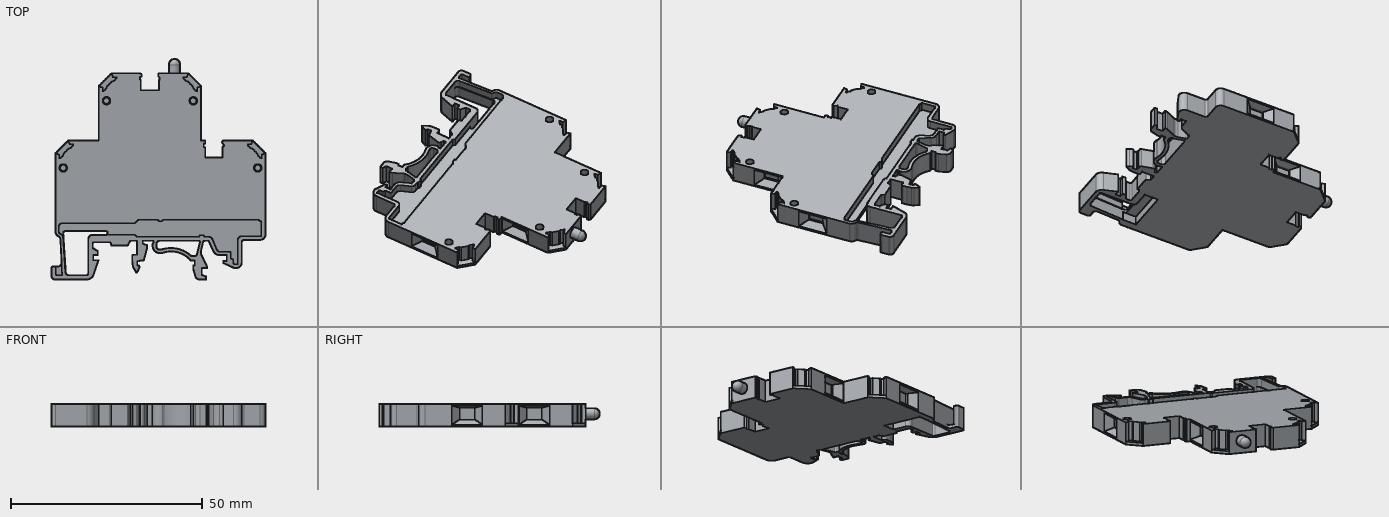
import cadquery as cq
import math

THICKNESS = 5.95

LOWER_LEFT, LOWER_RIGHT, LOWER_TOP = 1.05, 56.0, 36.4
UPPER_LEFT, UPPER_RIGHT = 12.35, 39.2
TIER_RISE = 17.55
UPPER_TOP = LOWER_TOP + TIER_RISE
TIERS = (
    (LOWER_LEFT, LOWER_RIGHT, LOWER_TOP),
    (UPPER_LEFT, UPPER_RIGHT, UPPER_TOP),
)
TIER_CHAMFER = 3.4

FOOT_BOTTOM = 0
RAIL_FACE = 10.1
ROOT_OVERLAP = 0.6
ROOT_TOP = RAIL_FACE + ROOT_OVERLAP
RIGHT_UNDERSIDE = 10.3
TIERS_BOTTOM = 12.65
ARM_LEFT = 2.3
RIGHT_FOOT_SIDE = 49.8
NOTCH_DEPTH = 4.45

POCKET_FLOOR = 0.8

HOLE_DIAMETER = 2.0
HOLE_END_DIAMETER = 1.7
HOLE_INSET = 2.1
HOLE_DROP = 7.2
HOLE_DEPTH = 3.45

FUNNEL_DEPTH = 2.0
FUNNEL_Y = -13.4
FUNNEL_Z = THICKNESS / 2
FUNNEL_MOUTH_LENGTH, FUNNEL_MOUTH_HEIGHT = 7.95, 4.9
FUNNEL_END_LENGTH, FUNNEL_END_HEIGHT = 4.0, 3.1
FUNNEL_END_SHIFT = 0.4
THROAT_DEPTH = 0.5

RECESS_FLOOR = 3.65
WEB_THICKNESS = 1.0
STRIP_TOP = 11.7
WINDOW_RIGHT_WALL = 9.65
WINDOW_BOTTOM = 1.15
WINDOW_LEFT, WINDOW_RIGHT, WINDOW_TOP = 3.1, 14.7, 12.65
UNDERCUT_TOP = 15.65

HOOK_TOP = 3.45
HOOK_INNER_SIDE = 1.2
HOOK_FLOOR = 0.9

ARCH_BEND_RADIUS = 4.1 / 2
ARCH_OUTER_RADIUS = 6.8
ARCH_THICKNESS = 0.9
ARCH_INNER_RADIUS = ARCH_OUTER_RADIUS + ARCH_THICKNESS

PIN_DIAMETER = 3.0
PIN_X, PIN_Z = 32.2, 3.35
PIN_TIP = 57.7


def toward(start, end, distance):
    """Point at a distance from start on the way to end."""
    span = math.dist(start, end)
    return tuple(a + (b - a) * distance / span for a, b in zip(start, end))


def rounded_corner(before, corner, after, radius):
    """Start, middle and end of the arc that rounds a corner."""
    to_before = math.atan2(before[1] - corner[1], before[0] - corner[0])
    to_after = math.atan2(after[1] - corner[1], after[0] - corner[0])
    half_angle = abs(math.remainder(to_after - to_before, math.tau)) / 2
    tangent_length = radius / math.tan(half_angle)
    start = toward(corner, before, tangent_length)
    end = toward(corner, after, tangent_length)
    chord_middle = tuple((a + b) / 2 for a, b in zip(start, end))
    middle = toward(corner, chord_middle, radius / math.sin(half_angle) - radius)
    return start, middle, end


def prism(corners, bottom=0, top=THICKNESS):
    """Upright prism on a closed outline of (x, y) or (x, y, corner radius) points."""
    points = [corner[:2] for corner in corners]
    sketch = cq.Workplane("XY").workplane(offset=bottom)
    for i, corner in enumerate(corners):
        stops = [points[i]]
        if len(corner) == 3:
            after = points[(i + 1) % len(points)]
            stops = rounded_corner(points[i - 1], points[i], after, corner[2])
        sketch = sketch.moveTo(*stops[0]) if i == 0 else sketch.lineTo(*stops[0])
        if len(stops) == 3:
            sketch = sketch.threePointArc(stops[1], stops[2])
    return sketch.close().extrude(top - bottom)


def tiers():
    """Stepped upper block, down to the rail strip."""
    return prism([
        (LOWER_LEFT, TIERS_BOTTOM),
        (LOWER_LEFT, LOWER_TOP - TIER_CHAMFER),
        (LOWER_LEFT + TIER_CHAMFER, LOWER_TOP),
        (UPPER_LEFT, LOWER_TOP),
        (UPPER_LEFT, UPPER_TOP - TIER_CHAMFER),
        (UPPER_LEFT + TIER_CHAMFER, UPPER_TOP),
        (UPPER_RIGHT - TIER_CHAMFER, UPPER_TOP),
        (UPPER_RIGHT, UPPER_TOP - TIER_CHAMFER),
        (UPPER_RIGHT, LOWER_TOP),
        (LOWER_RIGHT - TIER_CHAMFER, LOWER_TOP),
        (LOWER_RIGHT, LOWER_TOP - TIER_CHAMFER),
        (LOWER_RIGHT, TIERS_BOTTOM),
    ])


def rail_strip():
    """Band along the underside of the tiers, its right corner rounded."""
    return prism([
        (WINDOW_RIGHT_WALL, TIERS_BOTTOM),
        (WINDOW_RIGHT_WALL, RAIL_FACE),
        (RIGHT_FOOT_SIDE, RAIL_FACE),
        (RIGHT_FOOT_SIDE, RIGHT_UNDERSIDE),
        (LOWER_RIGHT, RIGHT_UNDERSIDE, 1.55),
        (LOWER_RIGHT, TIERS_BOTTOM),
    ])


def release_foot():
    """Left foot: arm with a hook, sole, and a post with two rail claws."""
    foot = prism([
        (LOWER_LEFT, TIERS_BOTTOM),
        (LOWER_LEFT, 11.75, 1.4),
        (ARM_LEFT, 11.0, 0.45),
        (2.8, WINDOW_BOTTOM, 0.25),
        (HOOK_INNER_SIDE, WINDOW_BOTTOM, 0.25),
        (HOOK_INNER_SIDE, HOOK_TOP),
        (0, HOOK_TOP, 0.5),
        (0, FOOT_BOTTOM, 1.0),
        (10.6, FOOT_BOTTOM, 1.85),
        (12.35, 5.1),
        (11.0, 5.1),
        (11.0, 6.4),
        (12.2, 6.4),
        (12.2, 7.45),
        (10.85, 8.25),
        (10.85, 9.75, 0.35),
        (15.4, 9.75, 0.3),
        (15.7, 8.9),
        (19.95, 8.9, 0.3),
        (20.65, RAIL_FACE),
        (20.65, TIERS_BOTTOM),
    ])
    hook_floor = prism([
        (0.65, 0.6),
        (0.65, HOOK_TOP),
        (2.7, HOOK_TOP, 0.9),
        (2.65, 4.5),
        (3.0, 4.5),
        (3.0, 0.6),
    ], top=HOOK_FLOOR)
    return foot.union(hook_floor)


def catch():
    """Barbed catch hanging from the strip between the release foot and the spring."""
    return prism([
        (22.4, ROOT_TOP),
        (22.4, 6.5),
        (21.1, 6.5, 0.4),
        (21.1, 4.9),
        (21.3, 3.4, 1.75),
        (22.3, 1.7, 0.1),
        (22.75, 2.4),
        (23.15, 3.4),
        (22.85, 3.7),
        (22.5, 3.7),
        (22.5, 4.8),
        (22.9, 4.8),
        (23.2, 4.95),
        (24.2, 4.95, 0.3),
        (25.05, 8.2),
        (25.05, 9.2, 0.3),
        (24.5, 9.1),
        (23.95, 9.45),
        (23.95, RAIL_FACE),
        (23.95, ROOT_TOP),
    ])


def spring_arch():
    """Curved spring with an enclosed opening, ending in the middle foot."""
    solid = prism([
        (26.65, ROOT_TOP),
        (26.65, 9.7),
        (26.4, 9.25),
        (26.4, 6.2, ARCH_BEND_RADIUS),
        (33.45, 8.25, ARCH_OUTER_RADIUS),
        (36.45, 4.95),
        (37.45, 4.95),
        (37.45, 3.7),
        (37.05, 3.7),
        (37.05, 2.9),
        (37.85, FOOT_BOTTOM, 1.2),
        (40.45, FOOT_BOTTOM),
        (40.45, 0.8),
        (39.35, 1.25),
        (39.35, 3.0),
        (40.8, 3.0),
        (40.55, 3.8),
        (39.2, 6.65, 0.6),
        (39.2, 7.6),
        (39.75, RAIL_FACE, 0.35),
        (41.1, RAIL_FACE),
        (41.1, ROOT_TOP),
    ])
    opening = prism([
        (27.5, RAIL_FACE, 0.75),
        (27.5, 7.9, 0.6),
        (28.85, 7.9),
        (33.35, 9.2, ARCH_INNER_RADIUS),
        (36.6, 6.2),
        (37.9, 6.2, 0.5),
        (38.9, RAIL_FACE, 0.3),
    ])
    return solid.cut(opening)


def right_foot():
    """Hollow right foot with a claw facing the rail."""
    return prism([
        (41.1, TIERS_BOTTOM),
        (41.1, RAIL_FACE, 0.35),
        (42.8, 6.4, 1.7),
        (45.8, 6.4),
        (45.8, 4.9),
        (44.9, 4.9),
        (44.9, 4.3, 0.2),
        (RIGHT_FOOT_SIDE, 2.1, 1.55),
        (RIGHT_FOOT_SIDE, RIGHT_UNDERSIDE, 0.5),
        (50.5, RIGHT_UNDERSIDE),
        (50.5, TIERS_BOTTOM),
    ])


def long_recess():
    """Recess along the bottom of the tiers, running into both outer feet."""
    return prism([
        (1.95, 14.8, 1.0),
        (21.85, 14.8),
        (22.75, 15.65, 0.5),
        (27.75, 15.65),
        (28.1, 15.3),
        (28.9, 15.3),
        (29.25, 15.65),
        (54.2, 15.65),
        (54.5, 15.3),
        (54.95, 15.3),
        (54.95, 11.35, 0.2),
        (48.7, 11.35, 1.15),
        (48.7, 4.05),
        (47.6, 4.05, 0.3),
        (47.6, 5.2, 0.3),
        (46.9, 5.55),
        (46.9, 7.2, 0.25),
        (43.5, 7.2, 1.15),
        (41.85, 11.2, 1.15),
        (40.0, 11.2),
        (39.85, 11.55),
        (38.8, 11.55),
        (38.65, 11.2),
        (22.35, 11.2),
        (21.85, STRIP_TOP),
        (WINDOW_RIGHT_WALL, STRIP_TOP, 1.15),
        (WINDOW_RIGHT_WALL, WINDOW_BOTTOM, 0.45),
        (3.7, WINDOW_BOTTOM, 0.9),
        (3.0, 11.6, 0.25),
        (1.95, 12.2, 0.35),
    ], bottom=RECESS_FLOOR)


def foot_window():
    """Opening between the arm and the post of the release foot, all the way through."""
    return prism([
        (WINDOW_LEFT, WINDOW_TOP, 0.45),
        (WINDOW_RIGHT, WINDOW_TOP, 0.4),
        (WINDOW_RIGHT, STRIP_TOP, 0.4),
        (WINDOW_RIGHT_WALL, STRIP_TOP, 1.15),
        (WINDOW_RIGHT_WALL, WINDOW_BOTTOM, 0.45),
        (3.85, WINDOW_BOTTOM, 0.75),
    ])


def web_undercut():
    """Underside recess that leaves a thin web between the window and the tiers."""
    return prism([
        (WINDOW_LEFT, STRIP_TOP),
        (WINDOW_LEFT, UNDERCUT_TOP),
        (WINDOW_RIGHT, UNDERCUT_TOP),
        (WINDOW_RIGHT, STRIP_TOP),
    ], top=RECESS_FLOOR - WEB_THICKNESS)


def upper_notch():
    """Bridge notch in the top of the upper tier."""
    return prism([
        (23.2, UPPER_TOP),
        (23.65, 53.6),
        (23.65, 53.0),
        (23.2, 52.95),
        (23.2, 52.35),
        (23.4, 52.1),
        (23.4, UPPER_TOP - NOTCH_DEPTH),
        (28.1, UPPER_TOP - NOTCH_DEPTH),
        (28.1, 52.1),
        (28.3, 52.1),
        (28.3, 52.8),
        (27.9, 53.15),
        (27.9, 53.65),
        (28.1, UPPER_TOP),
    ])


def lower_notch():
    """Bridge notch in the top of the lower tier."""
    return prism([
        (40.1, LOWER_TOP),
        (40.3, 36.2),
        (40.3, 35.55),
        (39.85, 35.55),
        (39.85, 34.6),
        (40.3, 34.6),
        (40.3, LOWER_TOP - NOTCH_DEPTH),
        (44.7, LOWER_TOP - NOTCH_DEPTH),
        (44.7, 34.6),
        (45.2, 35.1),
        (44.55, 35.85),
        (44.9, LOWER_TOP),
    ])


def marker_pocket():
    """Dovetail pocket of a left corner, placed from the sharp corner at the origin."""
    half = [(TIER_CHAMFER, 0), (3.75, -1.05), (4.75, -1.1), (4.75, -1.25), (4.0, -2.0), (3.45, -2.2)]
    mirrored_half = [(-y, -x) for x, y in reversed(half)]
    return prism(half + mirrored_half, bottom=POCKET_FLOOR)


def wire_funnel():
    """Wire entry of a left side, placed from the sharp corner at the origin."""
    funnel = (
        cq.Workplane("YZ")
        .center(FUNNEL_Y, FUNNEL_Z)
        .rect(FUNNEL_MOUTH_LENGTH, FUNNEL_MOUTH_HEIGHT)
        .workplane(offset=FUNNEL_DEPTH)
        .center(0, FUNNEL_END_SHIFT)
        .rect(FUNNEL_END_LENGTH, FUNNEL_END_HEIGHT)
        .loft(ruled=True)
    )
    throat = (
        cq.Workplane("YZ", origin=(FUNNEL_DEPTH, FUNNEL_Y, FUNNEL_Z + FUNNEL_END_SHIFT))
        .rect(FUNNEL_END_LENGTH, FUNNEL_END_HEIGHT)
        .extrude(THROAT_DEPTH)
    )
    return funnel.union(throat)


def screw_hole():
    """Blind, slightly tapered screw hole, placed from the sharp left corner at the origin."""
    return (
        cq.Workplane("XY", origin=(HOLE_INSET, -HOLE_DROP, THICKNESS - HOLE_DEPTH))
        .circle(HOLE_END_DIAMETER / 2)
        .workplane(offset=HOLE_DEPTH)
        .circle(HOLE_DIAMETER / 2)
        .loft(ruled=True)
    )


def make_housing():
    body = tiers()
    for part in (rail_strip(), release_foot(), catch(), spring_arch(), right_foot()):
        body = body.union(part)
    for cutter in (long_recess(), foot_window(), web_undercut(), upper_notch(), lower_notch()):
        body = body.cut(cutter)
    for left, right, top in TIERS:
        for feature in (marker_pocket(), wire_funnel(), screw_hole()):
            body = body.cut(feature.translate((left, top, 0)))
            body = body.cut(feature.mirror("YZ").translate((right, top, 0)))
    return body


def make_pin():
    """Round pin standing on the top of the upper tier, with a domed tip."""
    radius = PIN_DIAMETER / 2
    shank_length = PIN_TIP - radius - UPPER_TOP
    return (
        cq.Workplane("XY")
        .lineTo(radius, 0)
        .lineTo(radius, shank_length)
        .radiusArc((0, shank_length + radius), -radius)
        .close()
        .revolve(360, (0, 0, 0), (0, 1, 0))
        .translate((PIN_X, UPPER_TOP, PIN_Z))
    )


housing = make_housing()
pin = make_pin()

result = cq.Compound.makeCompound([housing.val(), pin.val()])